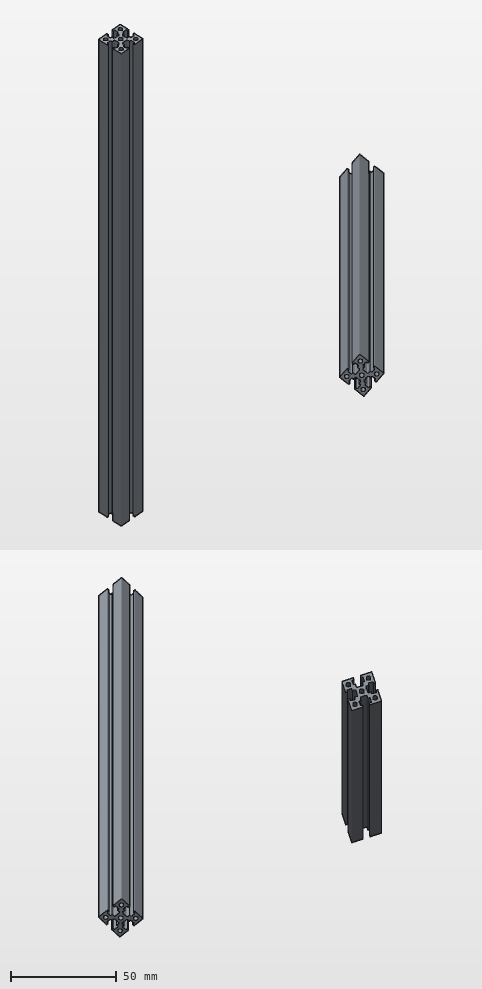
import cadquery as cq

LENGTH = 300.0
SIDE = 15.0
OUTER_EDGE_RADIUS = 0.1

OPENING_WIDTH = 2 * 1.7
LIP_THICKNESS = 1.0
POCKET_WIDTH = 2 * 2.73
POCKET_DEPTH = 2.35
POCKET_LIP_RADIUS = 0.35
POCKET_FLOOR_RADIUS = 0.27
GROOVE_RADIUS = 0.5

CORE_WALL = 1.38
BORE_DIAMETER = 2.28
CORNER_HOLE_DIAMETER = 2.0
CORNER_HOLE_INSET = 2.45

half_side = SIDE / 2
pocket_ceiling = half_side - LIP_THICKNESS
pocket_floor = pocket_ceiling - POCKET_DEPTH
groove_floor = BORE_DIAMETER / 2 + CORE_WALL
corner_hole_spacing = SIDE - 2 * CORNER_HOLE_INSET


def full_length_block(x_min, x_max, width):
    """Block along the whole length, symmetric about the XZ plane."""
    middle = (x_min + x_max) / 2
    return cq.Workplane("XY").center(middle, 0).rect(x_max - x_min, width).extrude(LENGTH)


def slot_cutter():
    """T-slot volume on the +X side, with rounded pocket corners and groove floor."""
    groove = full_length_block(groove_floor, half_side, OPENING_WIDTH)
    groove = groove.edges("|Z and <X").fillet(GROOVE_RADIUS)
    pocket = full_length_block(pocket_floor, pocket_ceiling, POCKET_WIDTH)
    pocket = pocket.edges("|Z and <X").fillet(POCKET_FLOOR_RADIUS)
    pocket = pocket.edges("|Z and >X").fillet(POCKET_LIP_RADIUS)
    return groove.union(pocket)


def slotted_bar():
    """Square bar with a T-slot in each side and softened outer edges."""
    bar = cq.Workplane("XY").rect(SIDE, SIDE).extrude(LENGTH)
    cutter = slot_cutter()
    for quarter_turn in range(4):
        bar = bar.cut(cutter.rotate((0, 0, 0), (0, 0, 1), 90 * quarter_turn))
    side_faces = bar.faces("<X or >X or <Y or >Y")
    return side_faces.edges("|Z").fillet(OUTER_EDGE_RADIUS)


def drill_holes(bar):
    """Cut the central bore and the four corner holes through the bar."""
    bar = bar.faces(">Z").workplane(origin=(0, 0, LENGTH)).hole(BORE_DIAMETER)
    return (
        bar.faces(">Z").workplane(origin=(0, 0, LENGTH))
        .rect(corner_hole_spacing, corner_hole_spacing, forConstruction=True)
        .vertices().hole(CORNER_HOLE_DIAMETER)
    )


result = drill_holes(slotted_bar()).solids()